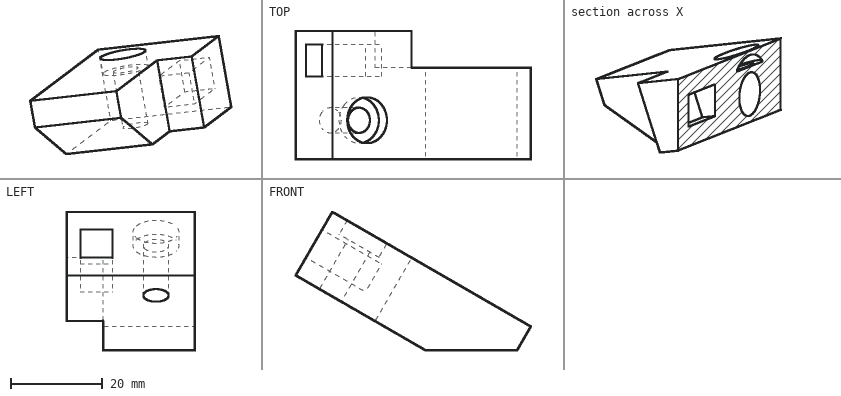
import cadquery as cq
import math

bar_length = 50.0
bar_thickness = 16.0
tip_thickness = 6.0
body_width = 20.0
tilt = 30.0

side_block_length = 20.0
side_block_width = 8.0

hole_from_end = 8.75
hole_from_side = 8.5
hole_diameter = 5.5
counterbore_diameter = 10.0
counterbore_depth = 3.5

socket_size = 7.0
socket_depth = 15.0
socket_wall = 3.0

total_width = body_width + side_block_width
foot_run = (bar_thickness - tip_thickness) / math.tan(math.radians(tilt))


def make_body():
    """Main bar with the sloped foot, top face on Z = 0, low -Y side on Y = 0."""
    outline = [
        (0, 0),
        (bar_length, 0),
        (bar_length, -tip_thickness),
        (bar_length - foot_run, -bar_thickness),
        (0, -bar_thickness),
    ]
    return cq.Workplane("XZ").polyline(outline).close().extrude(-body_width)


def make_side_block():
    """Block that widens the high end on the +Y side."""
    block = cq.Workplane("XY").box(side_block_length, side_block_width, bar_thickness, centered=False)
    return block.translate((0, body_width, -bar_thickness))


def cut_screw_hole(part):
    """Counterbored through hole, square to the top face."""
    axis = cq.Workplane("XY").center(hole_from_end, hole_from_side)
    shank = axis.circle(hole_diameter / 2).extrude(-bar_thickness)
    counterbore = axis.circle(counterbore_diameter / 2).extrude(-counterbore_depth)
    return part.cut(shank).cut(counterbore)


def cut_socket(part):
    """Blind square socket, centred across the thickness of the bar."""
    socket = cq.Workplane("XY").box(socket_depth, socket_size, socket_size, centered=False)
    socket_start_y = total_width - socket_wall - socket_size
    socket_floor_z = -(bar_thickness + socket_size) / 2
    return part.cut(socket.translate((0, socket_start_y, socket_floor_z)))


level_part = make_body().union(make_side_block())
level_part = cut_socket(cut_screw_hole(level_part))

result = level_part.rotate((0, 0, 0), (0, 1, 0), tilt)